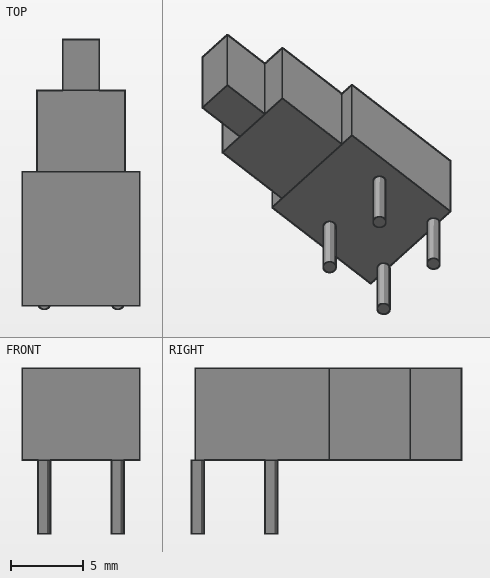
import cadquery as cq

overall_length = 18.66
overall_height = 11.45

pin_diameter = 0.89
pin_pitch = 5.08
pin_length = 5.08
front_pin_overhang = 0.25

block_height = overall_height - pin_length
housing_width = 8.13
housing_length = 9.28
collar_width = 6.1
collar_length = 5.6
plunger_width = 2.54
plunger_length = overall_length - front_pin_overhang - housing_length - collar_length

collar_start = housing_length
plunger_start = collar_start + collar_length
front_pin_y = pin_diameter / 2 - front_pin_overhang
rear_pin_y = front_pin_y + pin_pitch


def make_block(width, length, start_y):
    """Block centred on X, standing on Z = 0 and running from start_y toward +Y."""
    block = cq.Workplane("XY").box(width, length, block_height, centered=(True, False, False))
    return block.translate((0, start_y, 0))


def make_pin(x, y):
    """Round pin hanging down from the housing underside."""
    return cq.Workplane("XY").center(x, y).circle(pin_diameter / 2).extrude(-pin_length)


housing = make_block(housing_width, housing_length, 0)
collar = make_block(collar_width, collar_length, collar_start)
plunger = make_block(plunger_width, plunger_length, plunger_start)

pins = []
for pin_x in (-pin_pitch / 2, pin_pitch / 2):
    for pin_y in (front_pin_y, rear_pin_y):
        pins.append(make_pin(pin_x, pin_y))

result = cq.Compound.makeCompound(
    [housing.val(), collar.val(), plunger.val(), *[pin.val() for pin in pins]]
)